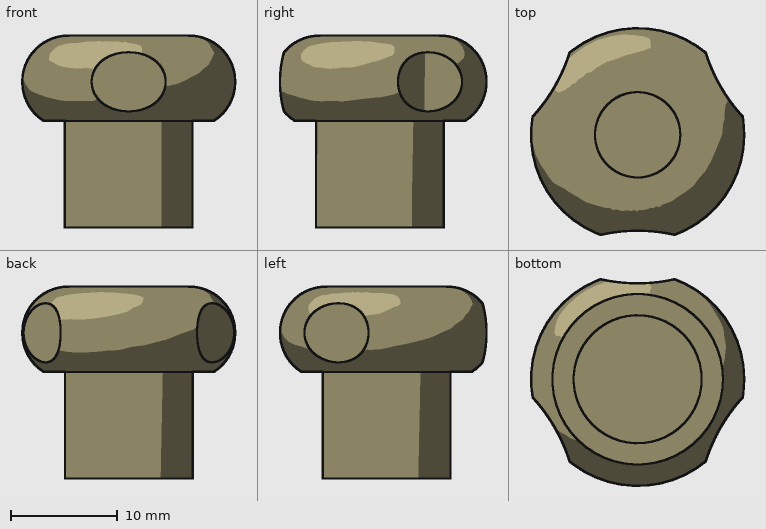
import cadquery as cq
import math

stem_radius = 6.0
stem_height = 10.0
total_height = 18.0
head_radius = 10.0
rim_radius = 4.34
dish_radius = 4.0
grip_count = 3
grip_radius = 16.0
grip_distance = 9.0
first_grip_angle = -90.0

rim_center_radius = head_radius - rim_radius
rim_center_z = total_height - rim_radius


def rim_offset(distance):
    """Half-chord of the rim section at a distance from its centre."""
    return math.sqrt(rim_radius**2 - distance**2)


underside_radius = rim_center_radius + rim_offset(stem_height - rim_center_z)
dish_z = rim_center_z + rim_offset(rim_center_radius - dish_radius)


def make_body():
    """Stem and dished head, revolved about Z."""
    return (
        cq.Workplane("XZ")
        .lineTo(stem_radius, 0)
        .lineTo(stem_radius, stem_height)
        .lineTo(underside_radius, stem_height)
        .threePointArc((rim_center_radius, total_height), (dish_radius, dish_z))
        .lineTo(0, dish_z)
        .close()
        .revolve(360, (0, 0, 0), (0, 1, 0))
    )


def make_grip_cutters():
    """Upright cylinders that scoop the finger grips from the rim."""
    return (
        cq.Workplane("XY")
        .workplane(offset=stem_height)
        .polarArray(grip_distance + grip_radius, first_grip_angle, 360, grip_count)
        .circle(grip_radius)
        .extrude(total_height - stem_height, combine=False)
    )


result = make_body()
for cutter in make_grip_cutters().solids().vals():
    result = result.cut(cq.Workplane(cutter))